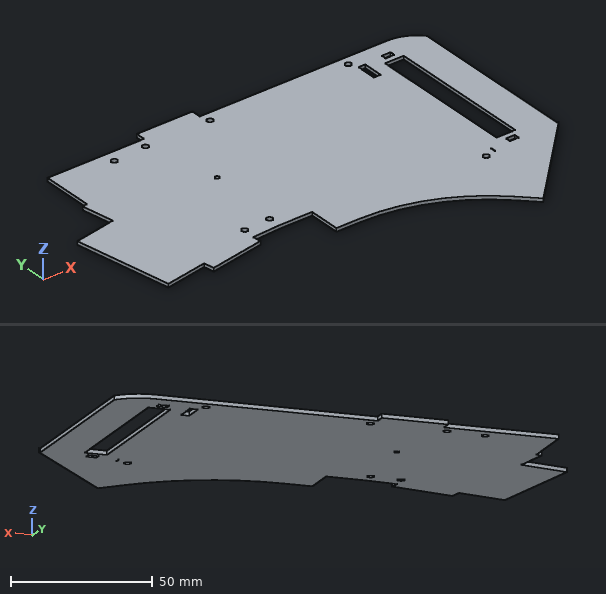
import cadquery as cq
import math

LENGTH = 184.2
WIDTH = 123.0
THICKNESS = 1.6

LEFT_X = 18.2
RIGHT_X = 183.7
TOP_Y = 118.8
NOTCH_X = 77.8
NOTCH_TOP_Y = 43.0
NOTCH_BOTTOM_Y = 29.0
TIP_X = 148.0
RIGHT_CORNER_Y = 37.8

TAB_LEFT_X = 61.5
TAB_RIGHT_X = 86.6

CORNER_START_X = 170.5
CORNER_RADIUS = 17.1
SWEEP_START_X = 88.5
SWEEP_RADIUS = 73.7
SLOPE_ANGLE = math.radians(45)

TILT = math.radians(10)
STEP_X = 16.0
STEP_Y = 95.8
STEP_LENGTH = 14.4
STEP_SHOULDER_Y = 96.2
END_CORNER_Y = 78.3
END_LENGTH = 43.5
END_FOOT = 18.8
FOOT_STEP = 4.6
FOOT_LENGTH = 24.9
FOOT_RISE = 3.7
RAMP_END_X = 63.5

HOLE_DIAMETER = 2.5
HOLE_CENTERS = [
    (44.0, 113.5),
    (58.8, 114.5),
    (87.7, 114.5),
    (149.8, 114.6),
    (51.4, 47.9),
    (63.0, 48.5),
    (149.8, 35.2),
]
SMALL_HOLE_DIAMETER = 1.8
SMALL_HOLE_CENTER = (65.8, 82.2)

WINDOW_X = 164.63
WINDOW_Y = 75.0
WINDOW_WIDTH = 8.3
WINDOW_HEIGHT = 64.1
CLIP_WIDTH = 3.9
CLIP_HEIGHT = 2.2
CLIP_OFFSET = 35.7
SLOT_X = 153.0
SLOT_Y = 106.3
SLOT_WIDTH = 3.0
SLOT_HEIGHT = 8.8
SLIT_X = 154.4
SLIT_Y = 37.2
SLIT_WIDTH = 0.2
SLIT_HEIGHT = 2.2


def along(point, distance):
    """Move a point along the tilted direction that runs right and up."""
    return (point[0] + distance * math.cos(TILT), point[1] + distance * math.sin(TILT))


def across(point, distance):
    """Move a point along the tilted direction that runs down and right."""
    return (point[0] + distance * math.sin(TILT), point[1] - distance * math.cos(TILT))


def arc_point(start, radius, angle):
    """Point on a clockwise arc that starts horizontally, heading right."""
    return (start[0] + radius * math.sin(angle), start[1] - radius * (1 - math.cos(angle)))


def plate():
    step = (STEP_X, STEP_Y)
    end_top = (0, END_CORNER_Y)
    end_bottom = across(end_top, END_LENGTH)
    foot_top = along(end_bottom, END_FOOT)
    foot_bottom = across(foot_top, FOOT_STEP)
    foot_end = along(foot_bottom, FOOT_LENGTH)
    ramp_start = across(foot_end, -FOOT_RISE)
    sweep = (SWEEP_START_X, NOTCH_BOTTOM_Y)
    corner = (CORNER_START_X, TOP_Y)

    outline = (
        cq.Workplane("XY")
        .moveTo(LEFT_X, TOP_Y)
        .lineTo(LEFT_X, STEP_SHOULDER_Y)
        .lineTo(*step)
        .lineTo(*across(step, STEP_LENGTH))
        .lineTo(*end_top)
        .lineTo(*end_bottom)
        .lineTo(*foot_top)
        .lineTo(*foot_bottom)
        .lineTo(*foot_end)
        .lineTo(*ramp_start)
        .lineTo(RAMP_END_X, NOTCH_TOP_Y)
        .lineTo(NOTCH_X, NOTCH_TOP_Y)
        .lineTo(NOTCH_X, NOTCH_BOTTOM_Y)
        .lineTo(*sweep)
        .threePointArc(
            arc_point(sweep, SWEEP_RADIUS, SLOPE_ANGLE / 2),
            arc_point(sweep, SWEEP_RADIUS, SLOPE_ANGLE),
        )
        .lineTo(TIP_X, 0)
        .lineTo(LENGTH, RIGHT_CORNER_Y)
        .lineTo(RIGHT_X, RIGHT_CORNER_Y)
    )
    corner_end = arc_point(corner, CORNER_RADIUS, SLOPE_ANGLE)
    chamfer_drop = (RIGHT_X - corner_end[0]) * math.tan(SLOPE_ANGLE)
    outline = (
        outline.lineTo(RIGHT_X, corner_end[1] - chamfer_drop)
        .lineTo(*corner_end)
        .threePointArc(arc_point(corner, CORNER_RADIUS, SLOPE_ANGLE / 2), corner)
        .lineTo(TAB_RIGHT_X, TOP_Y)
        .lineTo(TAB_RIGHT_X, WIDTH)
        .lineTo(TAB_LEFT_X, WIDTH)
        .lineTo(TAB_LEFT_X, TOP_Y)
        .close()
    )
    return outline.extrude(THICKNESS)


def round_holes(centers, diameter):
    return cq.Workplane("XY").pushPoints(centers).circle(diameter / 2).extrude(THICKNESS)


def openings(centers, width, height):
    return cq.Workplane("XY").pushPoints(centers).rect(width, height).extrude(THICKNESS)


clip_centers = [(WINDOW_X, WINDOW_Y + side * CLIP_OFFSET) for side in (-1, 1)]

result = (
    plate()
    .cut(round_holes(HOLE_CENTERS, HOLE_DIAMETER))
    .cut(round_holes([SMALL_HOLE_CENTER], SMALL_HOLE_DIAMETER))
    .cut(openings([(WINDOW_X, WINDOW_Y)], WINDOW_WIDTH, WINDOW_HEIGHT))
    .cut(openings(clip_centers, CLIP_WIDTH, CLIP_HEIGHT))
    .cut(openings([(SLOT_X, SLOT_Y)], SLOT_WIDTH, SLOT_HEIGHT))
    .cut(openings([(SLIT_X, SLIT_Y)], SLIT_WIDTH, SLIT_HEIGHT))
)